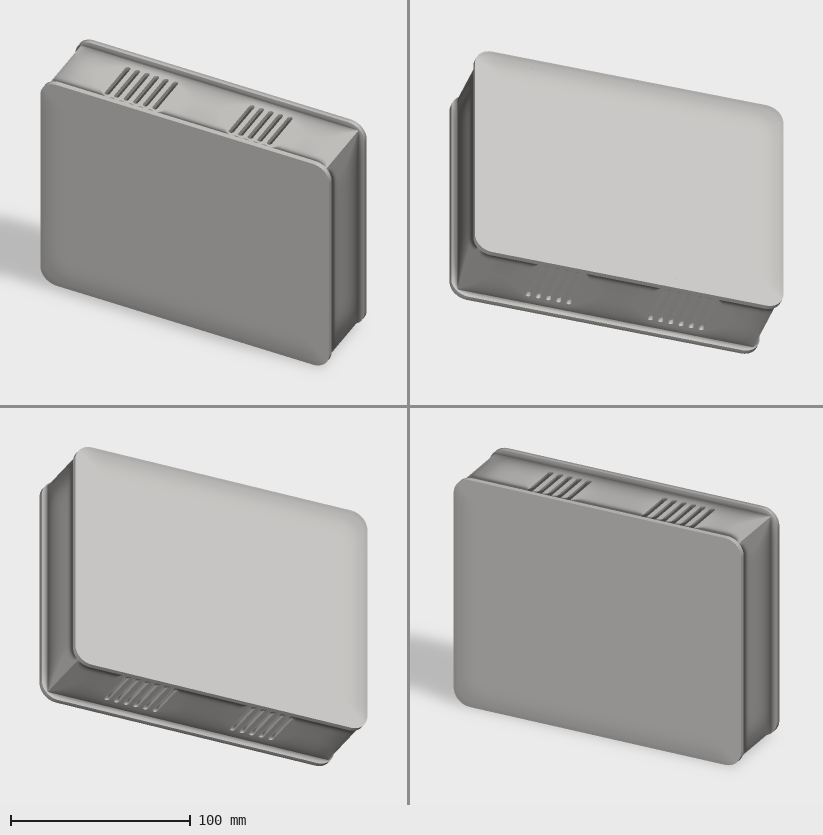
import cadquery as cq

WIDTH = 180.0
DEPTH = 46.0
HEIGHT = 140.0
SHEET = 3.0
CORNER_RADIUS = 10.0
WALL_INSET = 3.6

FRAME_WIDTH = WIDTH - 2 * WALL_INSET
FRAME_HEIGHT = HEIGHT - 2 * WALL_INSET
FRAME_DEPTH = DEPTH - 2 * SHEET
INNER_WIDTH = FRAME_WIDTH - 2 * SHEET
SIDE_WALL_X = (FRAME_WIDTH - SHEET) / 2
LEVEL_WALL_Z = (FRAME_HEIGHT - SHEET) / 2

LEVEL_TAB_LENGTH = 40.0
LEVEL_TAB_X = 40.0
SIDE_TAB_LENGTH = 24.8
SIDE_TAB_Z = 32.5

TONGUE_WIDTH = 15.0

VENT_LENGTH = 28.0
VENT_WIDTH = 3.0
VENT_PITCH = 6.0
LEFT_VENT_COUNT = 6
LEFT_VENT_CENTRE_X = -38.7
RIGHT_VENT_COUNT = 5
RIGHT_VENT_CENTRE_X = 35.6


def block(size_x, size_y, size_z, centre):
    return cq.Workplane("XY").box(size_x, size_y, size_z).translate(centre)


def level_tabs(z):
    """Full-depth bars at the tab places of the top or bottom wall."""
    bars = cq.Workplane("XY")
    for x in (-LEVEL_TAB_X, LEVEL_TAB_X):
        bars = bars.add(block(LEVEL_TAB_LENGTH, DEPTH, SHEET, (x, 0, z)))
    return bars


def side_tabs():
    """Full-depth bars at the tab places of the left wall."""
    bars = cq.Workplane("XY")
    for z in (-SIDE_TAB_Z, SIDE_TAB_Z):
        bars = bars.add(block(SHEET, DEPTH, SIDE_TAB_LENGTH, (-SIDE_WALL_X, 0, z)))
    return bars


def join(body, bars):
    for bar in bars.vals():
        body = body.union(bar)
    return body


def remove(body, bars):
    for bar in bars.vals():
        body = body.cut(bar)
    return body


def face_panel(y):
    """Front or back panel with a slot for each wall tab."""
    panel = block(WIDTH, SHEET, HEIGHT, (0, y, 0)).edges("|Y").fillet(CORNER_RADIUS)
    for z in (-LEVEL_WALL_Z, LEVEL_WALL_Z):
        panel = remove(panel, level_tabs(z))
    return remove(panel, side_tabs())


def vent_group(count, centre_x, z):
    """Row of round-ended slot cutters running along Y."""
    return (
        cq.Workplane("XY", origin=(centre_x, 0, z - SHEET / 2))
        .rarray(VENT_PITCH, 1.8, count, 1)
        .slot2D(VENT_LENGTH, VENT_WIDTH, 90)
        .extrude(SHEET)
    )


def level_wall(z):
    """Top or bottom wall with end tongues, panel tabs and vents."""
    wall = block(INNER_WIDTH, FRAME_DEPTH, SHEET, (0, 0, z))
    wall = wall.union(block(FRAME_WIDTH, TONGUE_WIDTH, SHEET, (0, 0, z)))
    wall = join(wall, level_tabs(z))
    wall = wall.cut(vent_group(LEFT_VENT_COUNT, LEFT_VENT_CENTRE_X, z))
    return wall.cut(vent_group(RIGHT_VENT_COUNT, RIGHT_VENT_CENTRE_X, z))


def side_wall(x):
    """Upright wall with a notch for the tongue of each level wall."""
    wall = block(SHEET, FRAME_DEPTH, FRAME_HEIGHT, (x, 0, 0))
    for z in (-LEVEL_WALL_Z, LEVEL_WALL_Z):
        wall = wall.cut(block(SHEET, TONGUE_WIDTH, SHEET, (x, 0, z)))
    return wall


PANEL_Y = (DEPTH - SHEET) / 2
face_panels = [face_panel(y) for y in (-PANEL_Y, PANEL_Y)]
level_walls = [level_wall(z) for z in (-LEVEL_WALL_Z, LEVEL_WALL_Z)]
left_wall = join(side_wall(-SIDE_WALL_X), side_tabs())
right_wall = side_wall(SIDE_WALL_X)

bodies = face_panels + level_walls + [left_wall, right_wall]
result = cq.Compound.makeCompound([body.solids().val() for body in bodies])